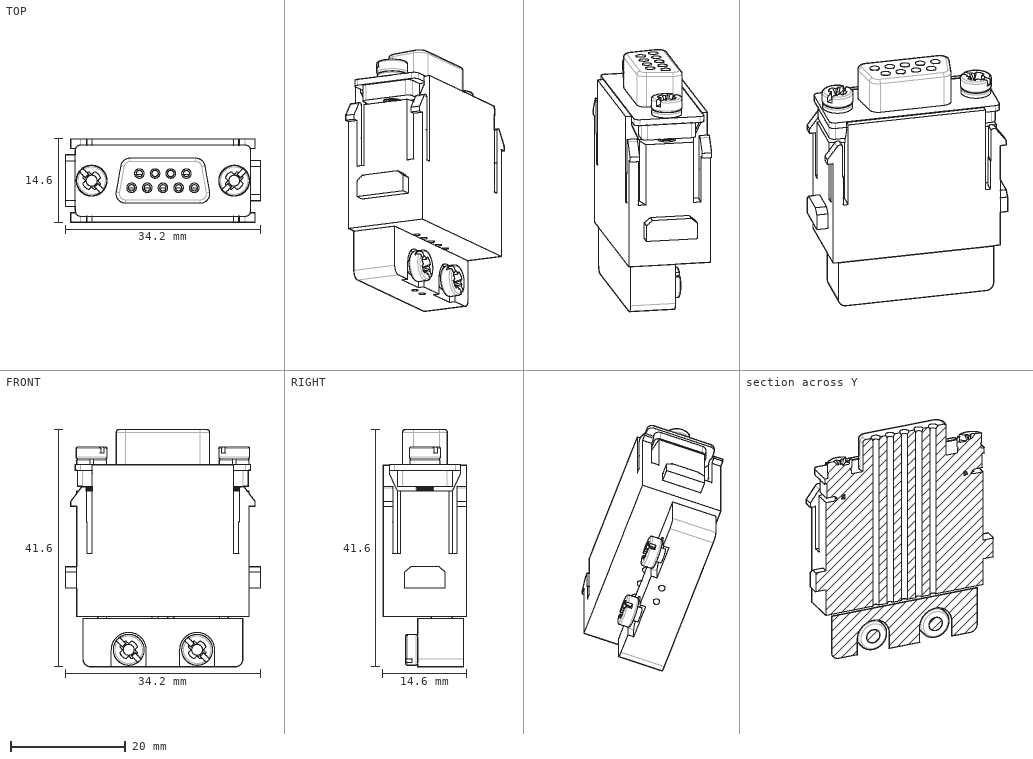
import cadquery as cq
import math

height = 41.6
lug_span = 34.2
thickness = 14.6

housing_width = 30.2
housing_bottom = 8.8
housing_top = 35.35
panel_width = 24.8
core_width = 22.9
ledge_z = 30.83
slot_bottom = 19.9
end_wall_half_outer = 4.25
end_wall_half_inner = 4.83
throat_z = 33.85

arm_thickness = 1.7
arm_inner_top = 13.4
arm_inner_root = 13.25
arm_step_z = 25.38
hook_reach = 16.15
hook_under_z = 28.12
hook_nose_z = 29.0
arm_top = 31.6
tip_outer = 14.4
tip_mid = 13.9
tip_shoulder_z = 31.32

lug_bottom = 13.8
lug_height = 3.75
lug_chamfer_y = 1.1
lug_chamfer_z = 0.9
left_lug_width = 9.1
right_lug_width = 7.07

flange_width = 30.7
flange_depth = 12.5
flange_top = 35.5
flange_thickness = 1.1
flange_corner = 0.9
base_width = 29.95
base_depth = 2 * end_wall_half_inner
base_bottom = 31.6
shell_half_depth = 3.95
shell_half_width_mid = 7.8
shell_side_angle = 10.0
shell_corner = 1.65
shell_rim_fillet = 0.6

contact_pitch = 2.75
contact_row_y = 1.25
contact_hole = 1.1
contact_mouth = 1.65
contact_mouth_depth = 0.62

terminal_width = 28.05
terminal_top = 8.5
terminal_front = -1.3
terminal_back = 6.8
terminal_bottom_fillet = 1.4
neck_front = 1.1
neck_back = 4.83
neck_width_front = 19.8
neck_width_back = 22.9
pocket_width = 6.1
pocket_depth = 1.1

head_diameter = 5.4
head_height = 2.12
head_rim = 0.3
head_under_fillet = 0.35
slot_width = 0.85
slot_depth = 1.1
cross_width = 1.5
cross_radius_top = 1.62
cross_radius_floor = 0.95
cross_depth = 1.6
cross_point_depth = 2.0
shank_diameter = 2.6
jackscrew_x = 12.5
jackscrew_top = 38.52
washer_diameter = 5.25
washer_gap = 0.6
washer_bevel_height = 0.3
washer_bevel_inset = 0.1
thread_diameter = 3.08
thread_pitch = 0.35
thread_bottom = 29.95
terminal_screw_x = 6.0
terminal_screw_z = 3.0
terminal_screw_projection = 2.1


def box(x0, x1, y0, y1, z0, z1):
    """Box between two opposite corners."""
    return cq.Workplane("XY").box(x1 - x0, y1 - y0, z1 - z0, centered=False).translate((x0, y0, z0))


def centered_box(width, depth, z0, z1):
    """Box centred on the Z axis."""
    return box(-width / 2, width / 2, -depth / 2, depth / 2, z0, z1)


def both_sides(solid, plane):
    """A solid together with its mirror image."""
    return solid.union(solid.mirror(plane))


def screw_head(slot_angle):
    """Slotted cross-recess head with its top face at Z = 0."""
    head = cq.Workplane("XY").circle(head_diameter / 2).extrude(-head_height)
    head = head.faces(">Z").edges().fillet(head_rim)
    head = head.faces("<Z").edges().fillet(head_under_fillet)
    slot = centered_box(2 * head_diameter, slot_width, -slot_depth, 0)
    arm = centered_box(2 * cross_radius_top, cross_width, -cross_depth, 0)
    cross = arm.union(arm.rotate((0, 0, 0), (0, 0, 1), 90))
    cross_limit = (
        cq.Workplane("XZ")
        .polyline([(0, 0), (cross_radius_top, 0), (cross_radius_floor, -cross_depth), (0, -cross_depth)])
        .close()
        .revolve(360, (0, 0, 0), (0, 1, 0))
    )
    point = (
        cq.Workplane("XZ")
        .polyline([
            (0, 0),
            (cross_radius_floor, 0),
            (cross_radius_floor, -cross_depth),
            (0, -cross_point_depth),
        ])
        .close()
        .revolve(360, (0, 0, 0), (0, 1, 0))
    )
    recess = slot.union(cross.intersect(cross_limit)).union(point)
    return head.cut(recess.rotate((0, 0, 0), (0, 0, 1), slot_angle))


def make_housing():
    """Housing block: slotted ends, with tapered end walls below the connector."""
    housing = centered_box(housing_width, thickness, housing_bottom, housing_top)
    half = housing_width / 2
    panel_half = panel_width / 2
    end_wall = (
        cq.Workplane("XY")
        .workplane(offset=slot_bottom)
        .polyline([
            (panel_half, -end_wall_half_inner),
            (half, -end_wall_half_outer),
            (half, end_wall_half_outer),
            (panel_half, end_wall_half_inner),
        ])
        .close()
        .extrude(ledge_z - slot_bottom)
    )
    recess = (
        cq.Workplane("YZ")
        .workplane(offset=core_width / 2)
        .polyline([
            (-end_wall_half_inner, ledge_z),
            (end_wall_half_inner, ledge_z),
            (flange_depth / 2, throat_z),
            (flange_depth / 2, housing_top),
            (-flange_depth / 2, housing_top),
            (-flange_depth / 2, throat_z),
        ])
        .close()
        .extrude(half - core_width / 2)
    )
    end_void = box(panel_half, half, -thickness / 2, thickness / 2, slot_bottom, housing_top)
    removed = end_void.cut(end_wall).union(recess)
    return housing.cut(both_sides(removed, "YZ"))


def make_latch_arms():
    """Four hooked spring arms, one at each vertical corner of the housing."""
    half = housing_width / 2
    arm = (
        cq.Workplane("XZ")
        .moveTo(half, slot_bottom)
        .lineTo(half, hook_under_z)
        .lineTo(hook_reach, hook_under_z)
        .lineTo(hook_reach, hook_nose_z)
        .lineTo(tip_outer, tip_shoulder_z)
        .threePointArc((tip_mid, arm_top), (arm_inner_top, tip_shoulder_z))
        .lineTo(arm_inner_top, arm_step_z)
        .lineTo(arm_inner_root, arm_step_z)
        .lineTo(arm_inner_root, slot_bottom)
        .close()
        .extrude(arm_thickness)
        .translate((0, arm_thickness - thickness / 2, 0))
    )
    return both_sides(both_sides(arm, "XZ"), "YZ")


def make_lug(width):
    """Keying lug on the +X end, with its upper corners chamfered."""
    half = width / 2
    lug_top = lug_bottom + lug_height
    return (
        cq.Workplane("YZ")
        .polyline([
            (-half, lug_bottom),
            (half, lug_bottom),
            (half, lug_top - lug_chamfer_z),
            (half - lug_chamfer_y, lug_top),
            (lug_chamfer_y - half, lug_top),
            (-half, lug_top - lug_chamfer_z),
        ])
        .close()
        .extrude(lug_span / 2)
    )


def make_connector():
    """Flange on a narrower base, carrying the rounded D-shaped shell."""
    flange_bottom = flange_top - flange_thickness
    flange = centered_box(flange_width, flange_depth, flange_bottom, flange_top)
    flange = flange.edges("|Z").fillet(flange_corner)
    base = centered_box(base_width, base_depth, base_bottom, flange_bottom)
    base = base.edges("|Z").fillet(flange_corner)
    taper = shell_half_depth * math.tan(math.radians(shell_side_angle))
    wide = shell_half_width_mid + taper
    narrow = shell_half_width_mid - taper
    shell = (
        cq.Workplane("XY")
        .workplane(offset=flange_top)
        .polyline([
            (-wide, -shell_half_depth),
            (wide, -shell_half_depth),
            (narrow, shell_half_depth),
            (-narrow, shell_half_depth),
        ])
        .close()
        .extrude(height - flange_top)
        .edges("|Z")
        .fillet(shell_corner)
        .faces(">Z")
        .edges()
        .fillet(shell_rim_fillet)
    )
    return flange.union(base).union(shell)


def contact_row(count, y):
    """Centre points of one row of contacts."""
    return [((i - (count - 1) / 2) * contact_pitch, y) for i in range(count)]


def make_contact_holes():
    """Nine countersunk contact holes; the middle pair of the rear row passes through everything."""
    front_row = contact_row(5, -contact_row_y)
    rear_row = contact_row(4, contact_row_y)
    holes = (
        cq.Workplane("XY")
        .workplane(offset=housing_bottom)
        .pushPoints(front_row + rear_row)
        .circle(contact_hole / 2)
        .extrude(height - housing_bottom)
    )
    through = (
        cq.Workplane("XY")
        .pushPoints(contact_row(2, contact_row_y))
        .circle(contact_hole / 2)
        .extrude(height)
    )
    holes = holes.union(through)
    for x, y in front_row + rear_row:
        mouth = cq.Solid.makeCone(
            contact_hole / 2, contact_mouth / 2, contact_mouth_depth,
            cq.Vector(x, y, height - contact_mouth_depth),
        )
        holes = holes.union(cq.Workplane(obj=mouth))
    return holes


def make_jackscrew(slot_angle):
    """Connector screw on the Z axis: head, split washer and threaded end below the base."""
    head_bottom = jackscrew_top - head_height
    washer = (
        cq.Workplane("XY")
        .workplane(offset=flange_top)
        .circle(washer_diameter / 2)
        .extrude(head_bottom - flange_top)
        .faces(">Z")
        .edges()
        .chamfer(washer_bevel_height, washer_bevel_inset)
    )
    split = box(
        -washer_gap / 2, washer_gap / 2, -washer_diameter, -thread_diameter / 2,
        flange_top, head_bottom,
    )
    shank = (
        cq.Workplane("XY")
        .workplane(offset=thread_bottom)
        .circle(thread_diameter / 2)
        .extrude(head_bottom - thread_bottom)
    )
    screw = screw_head(slot_angle).translate((0, 0, jackscrew_top))
    screw = screw.union(washer.cut(split)).union(shank)
    root = shank_diameter / 2
    crest = thread_diameter / 2
    groove_count = int((base_bottom - ledge_z) / thread_pitch)
    for i in range(groove_count):
        z = ledge_z + i * thread_pitch
        groove = (
            cq.Workplane("XZ")
            .polyline([(crest, z), (root, z + thread_pitch / 2), (crest, z + thread_pitch)])
            .close()
            .revolve(360, (0, 0, 0), (0, 1, 0))
        )
        screw = screw.cut(groove)
    return screw


def make_terminal_block():
    """Terminal block with two arched screw pockets, and the neck above it."""
    half = terminal_width / 2
    block = box(-half, half, terminal_front, terminal_back, 0, terminal_top)
    block = block.edges("|Y and <Z").fillet(terminal_bottom_fillet)
    neck = (
        cq.Workplane("XY")
        .workplane(offset=terminal_top)
        .polyline([
            (-neck_width_front / 2, neck_front),
            (neck_width_front / 2, neck_front),
            (neck_width_back / 2, neck_back),
            (-neck_width_back / 2, neck_back),
        ])
        .close()
        .extrude(housing_bottom - terminal_top)
    )
    block = block.union(neck)
    radius = pocket_width / 2
    pocket_floor = terminal_front + pocket_depth
    for x in (-terminal_screw_x, terminal_screw_x):
        arch = (
            cq.Workplane("XZ", origin=(x, pocket_floor, 0))
            .moveTo(-radius, 0)
            .lineTo(-radius, terminal_screw_z)
            .threePointArc((0, terminal_screw_z + radius), (radius, terminal_screw_z))
            .lineTo(radius, 0)
            .close()
            .extrude(pocket_depth)
        )
        head = (
            screw_head(-45)
            .rotate((0, 0, 0), (1, 0, 0), 90)
            .translate((x, terminal_front - terminal_screw_projection, terminal_screw_z))
        )
        shank = (
            cq.Workplane("XZ", origin=(x, pocket_floor, terminal_screw_z))
            .circle(shank_diameter / 2)
            .extrude(pocket_depth)
        )
        block = block.cut(arch).union(head).union(shank)
    return block


result = make_housing().union(make_latch_arms()).union(make_connector())
result = result.union(make_lug(right_lug_width))
result = result.union(make_lug(left_lug_width).mirror("YZ"))
result = result.union(make_jackscrew(-45).translate((-jackscrew_x, 0, 0)))
result = result.union(make_jackscrew(45).translate((jackscrew_x, 0, 0)))
result = result.union(make_terminal_block())
result = result.cut(make_contact_holes())